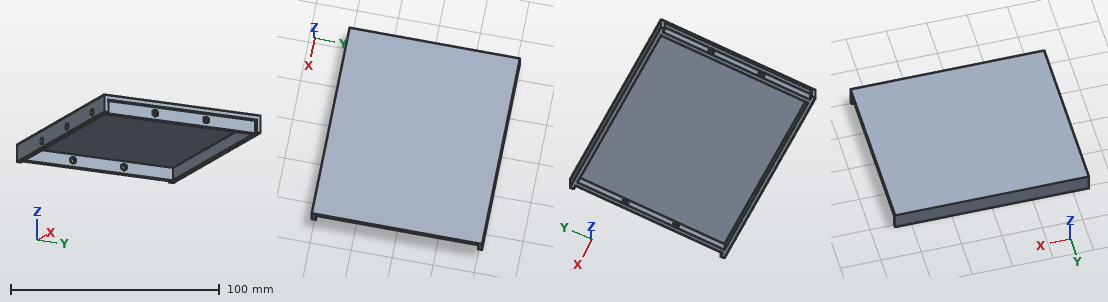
import cadquery as cq

length = 96.0
width = 83.0
height = 8.5
side_wall = 2.0
top_thickness = 2.3

end_recess = 2.0
end_wall = 2.0

hole_diameter = 3.0
hole_height = 3.4
side_hole_pitch = 27.5
first_side_hole_x = -20.6
end_hole_pitch = 27.1

inner_width = width - 2 * side_wall
inner_height = height - top_thickness


def block(size_x, size_y, size_z):
    """Block centred in X and Y, standing on the Z = 0 plane."""
    return cq.Workplane("XY").box(size_x, size_y, size_z, centered=(True, True, False))


def make_channel():
    """Top plate with a wall along each long side."""
    return block(length, width, height).cut(block(length, inner_width, inner_height))


def make_end_walls():
    """Two cross walls between the side walls, set in from the ends."""
    outer_length = length - 2 * end_recess
    inner_length = outer_length - 2 * end_wall
    outer = block(outer_length, inner_width, inner_height)
    return outer.cut(block(inner_length, inner_width, inner_height))


def make_side_holes():
    """Row of three holes through the -Y side wall."""
    positions = [(first_side_hole_x + i * side_hole_pitch, hole_height) for i in range(3)]
    return (
        cq.Workplane("XZ", origin=(0, -width / 2 + side_wall, 0))
        .pushPoints(positions)
        .circle(hole_diameter / 2)
        .extrude(side_wall)
    )


def make_end_holes():
    """Two holes running along X through both end walls."""
    positions = [(side * end_hole_pitch / 2, hole_height) for side in (-1, 1)]
    return (
        cq.Workplane("YZ", origin=(-length / 2, 0, 0))
        .pushPoints(positions)
        .circle(hole_diameter / 2)
        .extrude(length)
    )


body = make_channel().union(make_end_walls())
result = body.cut(make_side_holes()).cut(make_end_holes())